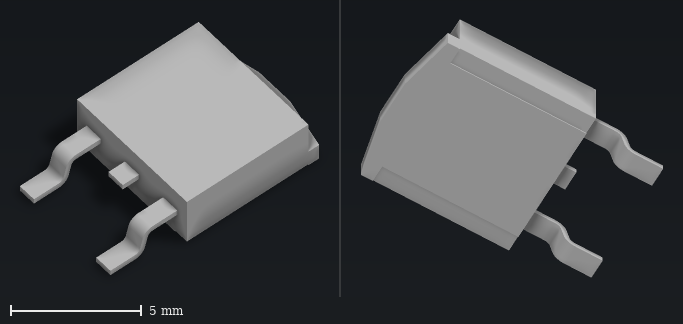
import cadquery as cq
import math

overall_length = 10.39
overall_height = 2.44
standoff = 0.06

housing_width = 6.6
housing_length = 6.03
housing_height = overall_height - standoff
housing_front = -housing_length / 2
housing_back = housing_length / 2

tab_thickness = 0.81
tab_overhang = 1.05
tab_taper_length = 0.52
tab_end_width = 1.87
tab_pad_width = 5.16
tab_back = housing_back + tab_overhang

lead_width = 0.85
lead_thickness = 0.26
lead_pitch = 4.59
lead_top = 1.39
lead_foot_length = 1.22
lead_tip = tab_back - overall_length
bend_inner_radius = 0.26
bend_outer_radius = bend_inner_radius + lead_thickness
bend_angle = math.radians(75)
stub_length = 0.81

marker_diameter = 0.35
marker_depth = 0.05
marker_setback = 1.17


def make_tab():
    """Thick plate with a tapered rear end, and a thin pad running forward under the housing."""
    taper_start = tab_back - tab_taper_length
    rear_plate = (
        cq.Workplane("XY")
        .moveTo(-housing_width / 2, housing_back)
        .lineTo(housing_width / 2, housing_back)
        .lineTo(housing_width / 2, taper_start)
        .lineTo(tab_end_width / 2, tab_back)
        .lineTo(-tab_end_width / 2, tab_back)
        .lineTo(-housing_width / 2, taper_start)
        .close()
        .extrude(tab_thickness)
    )
    pad_length = taper_start - housing_front
    pad = (
        cq.Workplane("XY", origin=(0, housing_front, 0))
        .box(tab_pad_width, pad_length, standoff, centered=(True, False, False))
    )
    return rear_plate.union(pad)


def make_marker():
    """Small disc above the first lead."""
    return (
        cq.Workplane("XY", origin=(-lead_pitch / 2, housing_front + marker_setback, overall_height))
        .circle(marker_diameter / 2)
        .extrude(-marker_depth)
    )


def make_housing(marker):
    """Rectangular moulding with a matching recess for the marker."""
    block = (
        cq.Workplane("XY", origin=(0, 0, standoff))
        .box(housing_width, housing_length, housing_height, centered=(True, True, False))
    )
    return block.cut(marker)


def make_formed_lead(center_x):
    """Gull-wing lead: flat shoulder, two opposite bends about a steep leg, flat foot."""
    upper_z = lead_top - bend_outer_radius
    lower_z = standoff + bend_outer_radius
    radius_sum = bend_inner_radius + bend_outer_radius
    leg_drop = upper_z - lower_z + radius_sum * math.cos(bend_angle)
    leg_run = leg_drop / math.tan(bend_angle)
    lower_y = lead_tip + lead_foot_length
    upper_y = lower_y + radius_sum * math.sin(bend_angle) + leg_run

    def upper_point(radius, angle):
        return (upper_y - radius * math.sin(angle), upper_z + radius * math.cos(angle))

    def lower_point(radius, angle):
        return (lower_y + radius * math.sin(angle), lower_z - radius * math.cos(angle))

    half_angle = bend_angle / 2
    return (
        cq.Workplane("YZ", origin=(center_x, 0, 0))
        .moveTo(housing_front, lead_top)
        .lineTo(*upper_point(bend_outer_radius, 0))
        .threePointArc(upper_point(bend_outer_radius, half_angle), upper_point(bend_outer_radius, bend_angle))
        .lineTo(*lower_point(bend_inner_radius, bend_angle))
        .threePointArc(lower_point(bend_inner_radius, half_angle), lower_point(bend_inner_radius, 0))
        .lineTo(lead_tip, standoff + lead_thickness)
        .lineTo(lead_tip, standoff)
        .lineTo(*lower_point(bend_outer_radius, 0))
        .threePointArc(lower_point(bend_outer_radius, half_angle), lower_point(bend_outer_radius, bend_angle))
        .lineTo(*upper_point(bend_inner_radius, bend_angle))
        .threePointArc(upper_point(bend_inner_radius, half_angle), upper_point(bend_inner_radius, 0))
        .lineTo(housing_front, lead_top - lead_thickness)
        .close()
        .extrude(lead_width / 2, both=True)
    )


def make_stub_lead():
    """Short cropped centre lead, level with the shoulders of the formed leads."""
    return (
        cq.Workplane("XY", origin=(0, housing_front - stub_length, lead_top - lead_thickness))
        .box(lead_width, stub_length, lead_thickness, centered=(True, False, False))
    )


tab = make_tab()
marker = make_marker()
housing = make_housing(marker)
stub_lead = make_stub_lead()
formed_leads = [make_formed_lead(side * lead_pitch / 2).val() for side in (-1, 1)]

result = cq.Compound.makeCompound(
    [housing.val(), tab.val(), marker.val(), stub_lead.val(), *formed_leads]
)